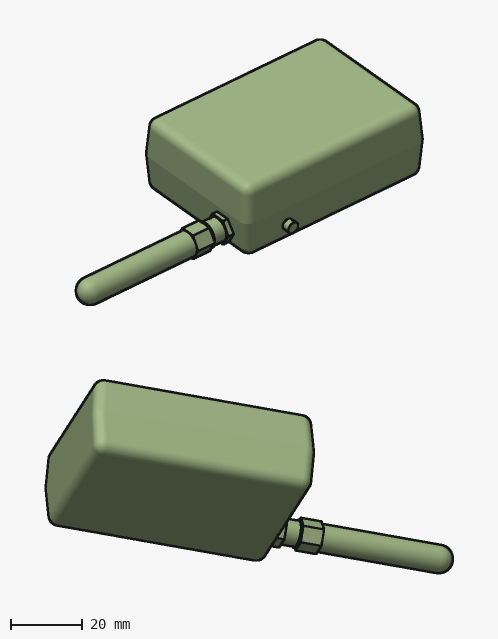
import cadquery as cq
import math

case_width = 45.9
case_length = 65.0
case_height = 24.0
draft_angle = 4
edge_radius = 3.0

overall_length = 116.5
antenna_x = 12.1
antenna_z = -6.0
antenna_diameter = 8.0
neck_diameter = 7.5
hex_across_flats = 8.0
flange_end = 1.5
collar_start = 5.8
nut_start = 6.3
nut_end = 12.3
root_depth = 2.3

pin_diameter = 3.5
pin_y = -17.5
pin_z = antenna_z
pin_projection = 2.1

half_height = case_height / 2
front_y = -case_length / 2
antenna_length = overall_length - case_length
antenna_radius = antenna_diameter / 2


def make_case():
    """Case tapering away from its mid-plane, with all outer edges rounded."""
    upper = cq.Workplane("XY").rect(case_width, case_length).extrude(half_height, taper=draft_angle)
    corner_edges = upper.edges("not #Z")
    top_edges = upper.faces(">Z").edges()
    upper = corner_edges.add(top_edges).fillet(edge_radius)
    return upper.union(upper.mirror("XY"))


def antenna_plane(distance):
    """Plane across the antenna axis at a distance from the front of the case."""
    return cq.Workplane("XZ", origin=(antenna_x, front_y - distance, antenna_z))


def antenna_cylinder(diameter, start, end):
    return antenna_plane(start).circle(diameter / 2).extrude(end - start)


def antenna_hexagon(start, end):
    across_corners = hex_across_flats / math.cos(math.pi / 6)
    return antenna_plane(start).polygon(6, across_corners).extrude(end - start)


def make_antenna():
    """Hexagonal flange, neck, collar, hexagonal nut and round-tipped rod."""
    flange = antenna_hexagon(-root_depth, flange_end)
    neck = antenna_cylinder(neck_diameter, -root_depth, collar_start)
    nut = antenna_hexagon(nut_start, nut_end)
    rod = antenna_cylinder(antenna_diameter, collar_start, antenna_length - antenna_radius)
    tip = antenna_plane(antenna_length - antenna_radius).sphere(antenna_radius)
    return flange.union(neck).union(rod).union(nut).union(tip)


def make_pin():
    pin_root_x = case_width / 2 - root_depth
    pin = cq.Workplane("YZ", origin=(pin_root_x, pin_y, pin_z)).circle(pin_diameter / 2)
    return pin.extrude(root_depth + pin_projection)


result = make_case().union(make_antenna()).union(make_pin())